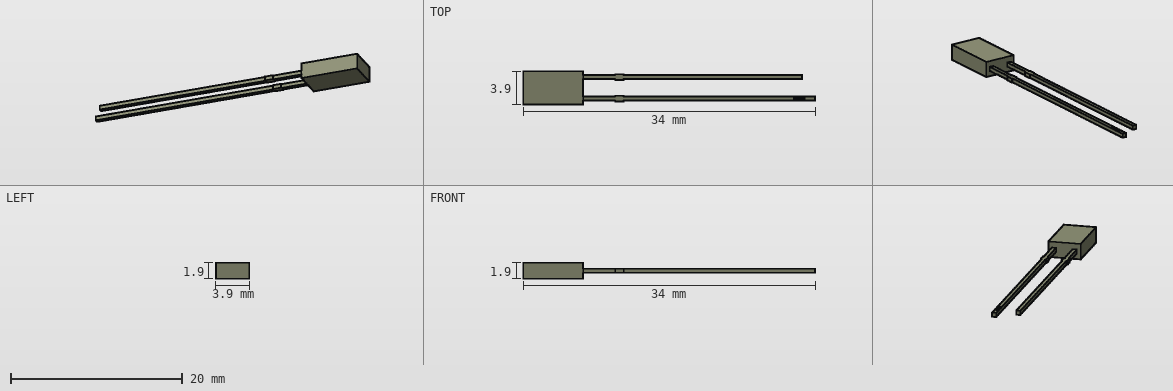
import cadquery as cq

body_length = 7.0
body_width = 3.9
body_height = 1.9

lead_thickness = 0.5
lead_pitch = 2.5
long_lead_length = 27.0
lead_length_difference = 1.5

stop_distance = 3.7
stop_length = 1.0
stop_width = 0.7

slot_length = 1.3
slot_width = 0.15
slot_depth = 0.1
slot_end_distance = 1.2

short_lead_length = long_lead_length - lead_length_difference


def bar_along_x(start_x, length, center_y, width, height):
    """Rectangular bar running in +X, centred on the plane Z = 0."""
    return (
        cq.Workplane("XY")
        .box(length, width, height, centered=(False, True, True))
        .translate((start_x, center_y, 0))
    )


def make_body():
    """Plain block with its front face at X = 0."""
    return bar_along_x(0, body_length, 0, body_width, body_height)


def make_lead(center_y, length):
    """Square wire leaving the body, widened sideways at the stop."""
    wire = bar_along_x(body_length, length, center_y, lead_thickness, lead_thickness)
    stop_start = body_length + stop_distance
    stop = bar_along_x(stop_start, stop_length, center_y, stop_width, lead_thickness)
    return wire.union(stop)


def make_marked_lead(center_y, length):
    """Lead with a shallow slot in its top face, near the tip."""
    slot_start = body_length + length - slot_end_distance - slot_length
    slot_center_z = (lead_thickness - slot_depth) / 2
    slot = bar_along_x(slot_start, slot_length, center_y, slot_width, slot_depth)
    return make_lead(center_y, length).cut(slot.translate((0, 0, slot_center_z)))


result = (
    make_body()
    .union(make_marked_lead(-lead_pitch / 2, long_lead_length))
    .union(make_lead(lead_pitch / 2, short_lead_length))
)